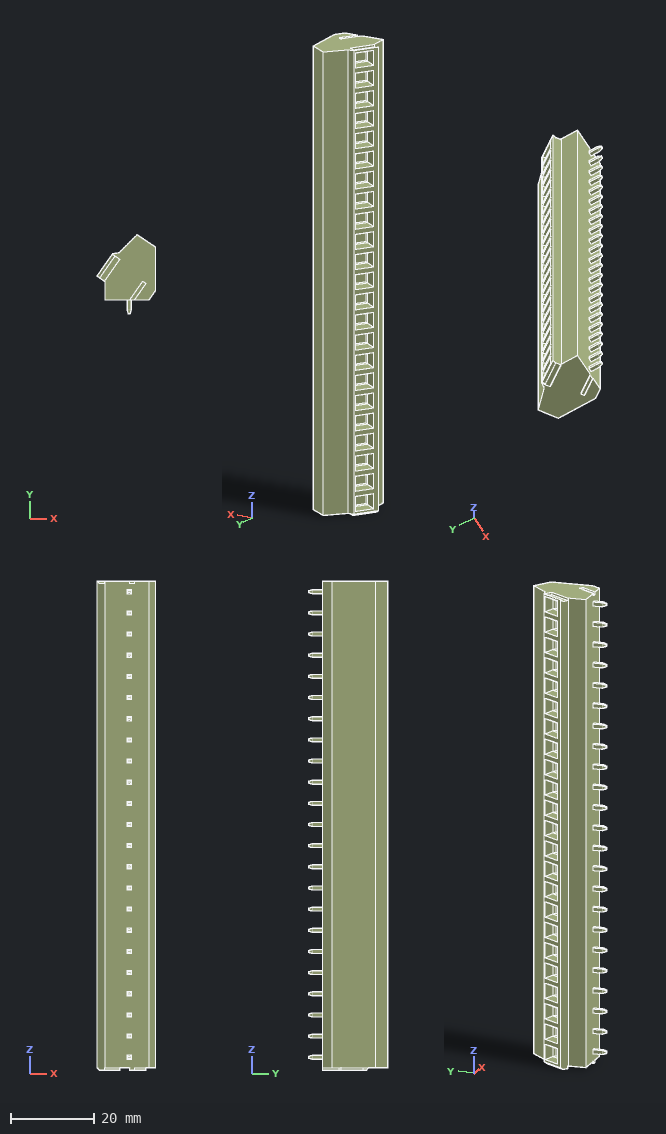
import cadquery as cq
import math

POLES = 23
PITCH = 5.08
LENGTH = POLES * PITCH

ENTRY_ANGLE = 55.0
ALONG = (math.cos(math.radians(ENTRY_ANGLE)), math.sin(math.radians(ENTRY_ANGLE)))
INWARD = (ALONG[1], -ALONG[0])

WIDTH = 14.11
LEFT_X = -7.76
RIGHT_X = LEFT_X + WIDTH
DEPTH = 15.73
ENTRY_LOW_Y = 5.77
ENTRY_LENGTH = 6.6
ENTRY_OVERHANG = 2.33
SHOULDER_Y = 11.4
APEX_X = 1.9
RIGHT_REAR_Y = 12.75
CORNER_BEVEL_X = 1.6
CORNER_BEVEL_Y = 2.3

PIN_SIDE = 1.0
PIN_LENGTH = 3.3
PIN_TIP_LENGTH = 0.9
PIN_TIP_SIDE = 0.5

MOUTH_START = 1.3
MOUTH_LENGTH = 4.85
MOUTH_HEIGHT = 3.8
MOUTH_DEPTH = 1.7
MOUTH_END_TAPER = 0.8
MOUTH_SIDE_TAPER = 0.65
WELL_DEPTH = 1.0

KEY_HEIGHT = 0.6
ENTRY_KEY_LENGTH = 6.45
ENTRY_KEY_BEVEL = 0.8
ENTRY_KEY_WIDTH = 2.2
PIN_KEY_X = 0.65
PIN_KEY_LENGTH = 5.2
PIN_KEY_WIDTH = 0.95


def on_entry(along, inward):
    """XY point at a distance along the wire entry face and a depth behind it."""
    x = LEFT_X + along * ALONG[0] + inward * INWARD[0]
    y = ENTRY_LOW_Y + along * ALONG[1] + inward * INWARD[1]
    return (x, y)


def make_body():
    overhang_root = on_entry(0, ENTRY_OVERHANG)
    points = [
        (overhang_root[0], 0),
        (RIGHT_X - CORNER_BEVEL_X, 0),
        (RIGHT_X, CORNER_BEVEL_Y),
        (RIGHT_X, RIGHT_REAR_Y),
        (APEX_X, DEPTH),
        (APEX_X - (DEPTH - SHOULDER_Y), SHOULDER_Y),
        on_entry(ENTRY_LENGTH, 0),
        on_entry(0, 0),
        overhang_root,
    ]
    return cq.Workplane("XY").polyline(points).close().extrude(LENGTH)


def make_entry_pocket(z):
    centre = on_entry(MOUTH_START + MOUTH_LENGTH / 2, 0)
    plane = cq.Plane(
        origin=(centre[0], centre[1], z),
        xDir=(ALONG[0], ALONG[1], 0),
        normal=(INWARD[0], INWARD[1], 0),
    )
    well_length = MOUTH_LENGTH - 2 * MOUTH_END_TAPER
    well_height = MOUTH_HEIGHT - 2 * MOUTH_SIDE_TAPER
    mouth = (
        cq.Workplane(plane)
        .rect(MOUTH_LENGTH, MOUTH_HEIGHT)
        .workplane(offset=MOUTH_DEPTH)
        .rect(well_length, well_height)
        .loft(ruled=True)
    )
    well = cq.Workplane(plane).rect(well_length, well_height).extrude(MOUTH_DEPTH + WELL_DEPTH)
    return mouth.union(well)


def make_pin(z):
    shank_length = PIN_LENGTH - PIN_TIP_LENGTH
    face = cq.Workplane("XZ", origin=(0, 0, z))
    shank = face.rect(PIN_SIDE, PIN_SIDE).extrude(shank_length)
    tip = (
        face.workplane(offset=shank_length)
        .rect(PIN_SIDE, PIN_SIDE)
        .workplane(offset=PIN_TIP_LENGTH)
        .rect(PIN_TIP_SIDE, PIN_TIP_SIDE)
        .loft(ruled=True)
    )
    return shank.union(tip)


def make_keys(z):
    """Both key shapes, hanging below the level z and kept behind the pin face."""
    origin = on_entry(0, 0)
    entry_plane = cq.Plane(
        origin=(origin[0], origin[1], z),
        xDir=(INWARD[0], INWARD[1], 0),
        normal=(ALONG[0], ALONG[1], 0),
    )
    entry_key = (
        cq.Workplane(entry_plane)
        .polyline([
            (0, 0),
            (ENTRY_KEY_BEVEL, KEY_HEIGHT),
            (ENTRY_KEY_WIDTH, KEY_HEIGHT),
            (ENTRY_KEY_WIDTH, 0),
        ])
        .close()
        .extrude(ENTRY_KEY_LENGTH)
    )
    pin_key = (
        cq.Workplane("XY", origin=(PIN_KEY_X, 0, z))
        .transformed(rotate=(0, 0, ENTRY_ANGLE))
        .rect(2 * PIN_KEY_LENGTH, PIN_KEY_WIDTH)
        .extrude(-KEY_HEIGHT)
    )
    behind_pin_face = cq.Workplane("XY").box(LENGTH, LENGTH, 3 * LENGTH).translate((0, LENGTH / 2, 0))
    return entry_key.union(pin_key.intersect(behind_pin_face))


body = make_body().cut(make_keys(LENGTH)).union(make_keys(0))
for pole in range(POLES):
    pole_z = (pole + 0.5) * PITCH
    body = body.cut(make_entry_pocket(pole_z)).union(make_pin(pole_z))

result = body